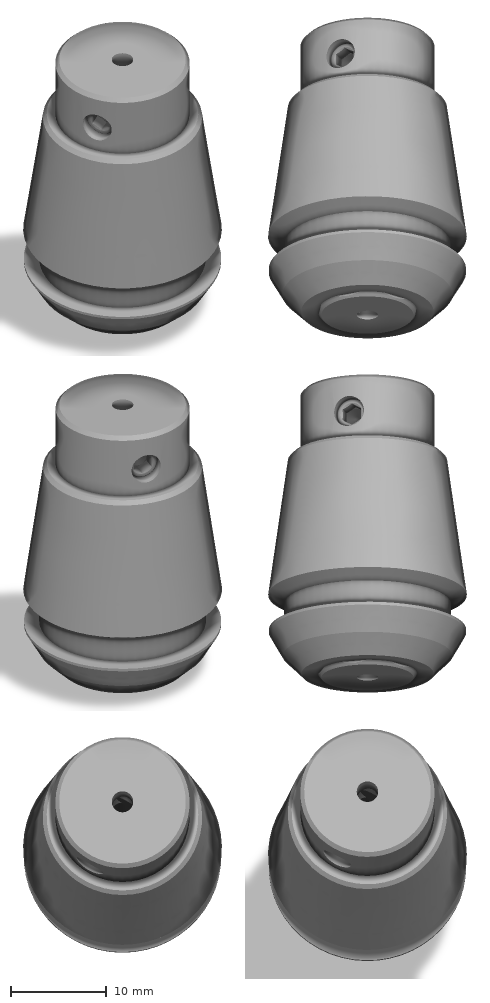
import cadquery as cq
import math

hexagon_sides = 6

overall_height = 31.0
bore_radius = 2.24 / 2
max_radius = 20.73 / 2

boss_height = 0.4
boss_tip_radius = 4.8
boss_root_radius = boss_tip_radius + boss_height
boss_across_flats = 10.0

rim_radius = 20.6 / 2
flange_knee_z = 2.35
rim_bottom_z = 4.9
rim_top_z = 5.2
flange_base_radius = 6.9
lower_cone_angle = 45.0
knee_radius = flange_base_radius + (flange_knee_z - boss_height) * math.tan(math.radians(lower_cone_angle))

groove_radius = 17.4 / 2
groove_top_z = 8.0
groove_flank_angle = 30.0
taper_bottom_z = groove_top_z + (max_radius - groove_radius) * math.tan(math.radians(groove_flank_angle))

taper_angle = 8.0
edge_chamfer = 0.4
shoulder_z = 24.0
taper_top_z = shoulder_z - edge_chamfer
taper_top_radius = max_radius - (taper_top_z - taper_bottom_z) * math.tan(math.radians(taper_angle))
neck_radius = 14.0 / 2

screw_z = 27.0
screw_radius = 3.24 / 2
screw_length = 5.0
screw_tip_y = 0.83
screw_head_y = screw_tip_y + screw_length
screw_tip_radius = 2.5 / 2
screw_head_chamfer = 0.1

socket_across_flats = 2.0
socket_mouth_radius = 1.2
socket_depth = 1.5
socket_cone_angle = 30.0


def corner_diameter(across_flats):
    """Diameter of the circle through the corners of a hexagon."""
    return across_flats / math.cos(math.pi / hexagon_sides)


def revolve_about_z(outline):
    """Solid of revolution from (radius, z) points."""
    return cq.Workplane("XZ").polyline(outline).close().revolve(axisStart=(0, 0), axisEnd=(0, 1))


def revolve_about_y(outline):
    """Solid of revolution from (radius, y) points."""
    return cq.Workplane("XY").polyline(outline).close().revolve(axisStart=(0, 0), axisEnd=(0, 1))


def make_boss():
    """Bottom boss: cone trimmed by a hexagon with two flats facing along Y."""
    outline = [
        (0, 0),
        (boss_tip_radius, 0),
        (boss_root_radius, boss_height),
        (0, boss_height),
    ]
    cone = revolve_about_z(outline)
    hexagon = cq.Workplane("XY").polygon(hexagon_sides, corner_diameter(boss_across_flats)).extrude(boss_height)
    return cone.intersect(hexagon)


def make_body():
    """Revolved outline of the flange, groove, taper and neck."""
    outline = [
        (0, boss_height),
        (flange_base_radius, boss_height),
        (knee_radius, flange_knee_z),
        (rim_radius, rim_bottom_z),
        (rim_radius, rim_top_z),
        (groove_radius, rim_top_z),
        (groove_radius, groove_top_z),
        (max_radius, taper_bottom_z),
        (taper_top_radius, taper_top_z),
        (taper_top_radius - edge_chamfer, shoulder_z),
        (neck_radius, shoulder_z),
        (neck_radius, overall_height - edge_chamfer),
        (neck_radius - edge_chamfer, overall_height),
        (0, overall_height),
    ]
    return revolve_about_z(outline)


def make_bore():
    """Axial through hole."""
    return cq.Workplane("XY").circle(bore_radius).extrude(overall_height)


def cone_height(radius):
    """Height of a cone with the slope of the socket floor and mouth."""
    return radius * math.tan(math.radians(socket_cone_angle))


def make_socket():
    """Hexagon socket opening toward -Y, with a conical floor and a countersunk mouth."""
    socket = (
        cq.Workplane("XZ", origin=(0, -screw_head_y + socket_depth, 0))
        .transformed(rotate=(0, 0, 90))
        .polygon(hexagon_sides, corner_diameter(socket_across_flats))
        .extrude(socket_depth)
    )
    floor_y = -screw_head_y + socket_depth
    floor_radius = socket_across_flats / 2
    cones = [
        (floor_y, floor_radius),
        (-screw_head_y, socket_mouth_radius),
    ]
    for base_y, radius in cones:
        outline = [(0, base_y), (radius, base_y), (0, base_y + cone_height(radius))]
        cone = revolve_about_y(outline)
        socket = socket.union(cone)
    return socket


def make_screw():
    """Set screw on the -Y side: chamfered flat tip, chamfered head and hexagon socket."""
    tip_chamfer = screw_radius - screw_tip_radius
    outline = [
        (0, -screw_tip_y),
        (screw_tip_radius, -screw_tip_y),
        (screw_radius, -screw_tip_y - tip_chamfer),
        (screw_radius, -screw_head_y + screw_head_chamfer),
        (screw_radius - screw_head_chamfer, -screw_head_y),
        (0, -screw_head_y),
    ]
    screw = revolve_about_y(outline)
    return screw.cut(make_socket()).translate((0, 0, screw_z))


def make_cross_hole():
    """Screw hole through the neck along Y."""
    hole = cq.Workplane("XZ").circle(screw_radius).extrude(neck_radius, both=True)
    return hole.translate((0, 0, screw_z))


result = make_body().union(make_boss()).cut(make_bore()).cut(make_cross_hole())
for turn in (0, 180):
    result = result.union(make_screw().rotate((0, 0, 0), (0, 0, 1), turn))